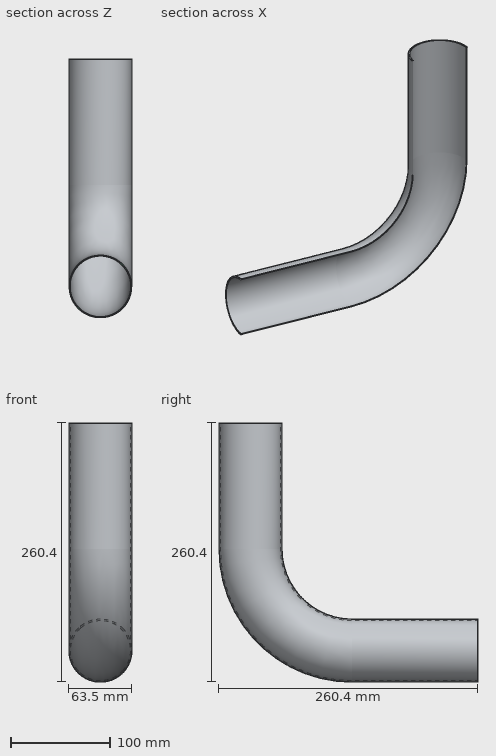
import cadquery as cq

overall_length = 260.4
outer_diameter = 63.5
inner_diameter = 60.5
straight_length = 126.5

bend_radius = overall_length - straight_length - outer_diameter / 2
bend_angle = 90


def ring(plane):
    """Annular tube section on the given plane."""
    return cq.Workplane(plane).circle(outer_diameter / 2).circle(inner_diameter / 2)


upright_leg = ring("XY").extrude(straight_length)

bend = ring("XY").revolve(bend_angle, (0, bend_radius, 0), (1, bend_radius, 0))

level_leg_start = cq.Plane(origin=(0, bend_radius, -bend_radius), xDir=(1, 0, 0), normal=(0, 1, 0))
level_leg = ring(level_leg_start).extrude(straight_length)

result = upright_leg.union(bend).union(level_leg)